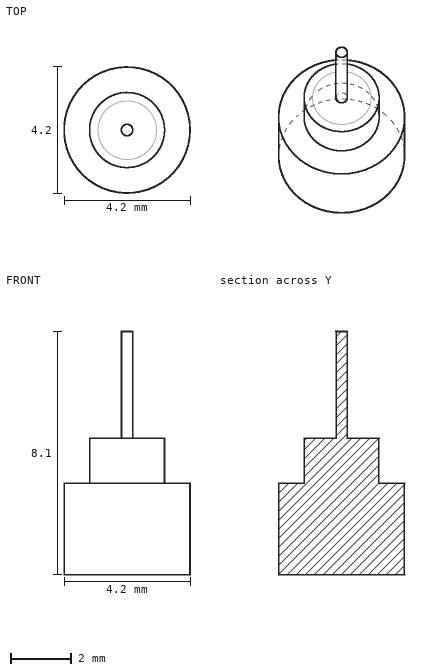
import cadquery as cq

body_diameter = 4.2
body_height = 3.05
neck_diameter = 2.5
neck_height = 1.5
seal_diameter = 1.95
pin_diameter = 0.38
pin_length = 3.55

neck_bottom = body_height
neck_top = neck_bottom + neck_height


def cylinder(diameter, bottom, height):
    """Solid cylinder on the Z axis, starting at the given level."""
    return cq.Workplane("XY").workplane(offset=bottom).circle(diameter / 2).extrude(height)


def housing():
    """Stepped body and neck, with a bore through the neck for the seal."""
    body = cylinder(body_diameter, 0, body_height)
    neck = cylinder(neck_diameter, neck_bottom, neck_height)
    bore = cylinder(seal_diameter, neck_bottom, neck_height)
    return body.union(neck).cut(bore)


def seal_with_pin():
    """Seal that fills the neck bore, carrying the contact pin on its top face."""
    seal = cylinder(seal_diameter, neck_bottom, neck_height)
    pin = cylinder(pin_diameter, neck_top, pin_length)
    return seal.union(pin)


result = housing().union(seal_with_pin(), clean=False)